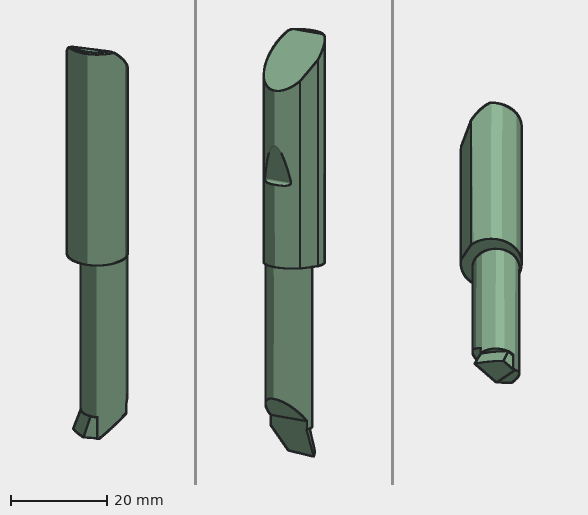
import cadquery as cq
import math

total_length = 88.9
shank_radius = 6.36
shank_bottom = 40.6
top_land = 2.0
end_chamfer = 0.4

flat_tilt = math.radians(20)

notch_bottom = 58.1
notch_length = 8.3
notch_depth = 1.1
notch_corner = 0.8

neck_radius = 4.9
neck_center_x = shank_radius - neck_radius
face_top = 7.3

tip_height = 5.5
tip_point_x = -5.25
tip_root_x = -3.3
tip_heel_lean = 1.7
tip_back_y = -4.7
tip_bulge = 0.2
corner_bottom_x = 1.8
corner_bottom_z = 0.5
end_slope_x = math.radians(3)
end_slope_y = math.radians(4)

margin = 1.8


def side_prism(points):
    """Prism through the whole bar with a Y-Z outline."""
    return cq.Workplane("YZ").polyline(points).close().extrude(2 * shank_radius, both=True)


def make_shank():
    shank = (
        cq.Workplane("XY").workplane(offset=shank_bottom)
        .circle(shank_radius).extrude(total_length - shank_bottom)
        .faces(">Z").chamfer(end_chamfer)
    )
    flat_distance = shank_radius * math.cos(flat_tilt)
    flat_cutter = (
        cq.Workplane("XY")
        .box(shank_radius, 2 * shank_radius, total_length, centered=(False, True, False))
        .translate((flat_distance, 0, 0))
        .rotate((0, 0, 0), (0, 0, 1), 180 - math.degrees(flat_tilt))
    )
    slant_start = top_land - shank_radius
    slant_run = 2 * shank_radius
    slant = side_prism([
        (slant_start - margin, total_length + margin),
        (slant_start + slant_run, total_length - slant_run),
        (slant_start + slant_run, total_length + margin),
    ])
    return shank.cut(flat_cutter).cut(slant).cut(make_notch())


def make_notch():
    floor_y = shank_radius - notch_depth
    outer_y = shank_radius + margin
    mid_offset = notch_corner * (1 - math.sqrt(0.5))
    return (
        cq.Workplane("YZ")
        .moveTo(outer_y, notch_bottom)
        .lineTo(floor_y + notch_corner, notch_bottom)
        .threePointArc((floor_y + mid_offset, notch_bottom + mid_offset),
                       (floor_y, notch_bottom + notch_corner))
        .lineTo(shank_radius, notch_bottom + notch_length)
        .lineTo(outer_y, notch_bottom + notch_length)
        .close().extrude(shank_radius, both=True)
    )


def make_neck():
    neck = (
        cq.Workplane("XY").center(neck_center_x, 0)
        .circle(neck_radius).extrude(shank_bottom)
    )
    reach = neck_radius + margin
    run_out = side_prism([
        (0, -margin), (0, face_top), (reach, face_top + reach), (reach, -margin),
    ])
    flank_space = (
        cq.Workplane("XY")
        .box(2 * neck_radius, 4 * neck_radius, tip_height, centered=(False, True, False))
        .translate((neck_center_x - 2 * neck_radius, 0, 0))
    )
    return neck.cut(run_out).cut(flank_space)


def tip_section(plane, point_x, heel_x):
    """Section from the cutting edge around the flank and heel to the neck axis."""
    chord_x = heel_x - point_x
    chord_y = tip_back_y
    chord = math.hypot(chord_x, chord_y)
    bow = ((point_x + heel_x) / 2 + tip_bulge * chord_y / chord,
           tip_back_y / 2 - tip_bulge * chord_x / chord)
    return (
        plane.moveTo(point_x, 0)
        .threePointArc(bow, (heel_x, tip_back_y))
        .lineTo(neck_center_x, tip_back_y)
        .lineTo(neck_center_x, 0)
        .close()
    )


def make_tip():
    bottom = tip_section(cq.Workplane("XY"), tip_point_x, -tip_heel_lean)
    return tip_section(bottom.workplane(offset=tip_height), tip_root_x, 0).loft(ruled=True)


def make_tip_trim():
    reach = shank_radius + margin
    corner_rise = reach - corner_bottom_x
    corner = (
        cq.Workplane("XZ")
        .polyline([
            (corner_bottom_x - margin, corner_bottom_z - margin),
            (reach, corner_bottom_z + corner_rise),
            (reach, corner_bottom_z - margin),
        ])
        .close().extrude(2 * neck_radius, both=True)
    )
    end_plane = cq.Plane(
        origin=(tip_point_x, 0, 0),
        xDir=(1, 0, math.tan(end_slope_x)),
        normal=(-math.tan(end_slope_x), math.tan(end_slope_y), 1),
    )
    end_relief = cq.Workplane(end_plane).rect(4 * shank_radius, 4 * shank_radius).extrude(-margin)
    return corner.union(end_relief)


cutting_end = make_neck().union(make_tip()).cut(make_tip_trim())
result = make_shank().union(cutting_end)